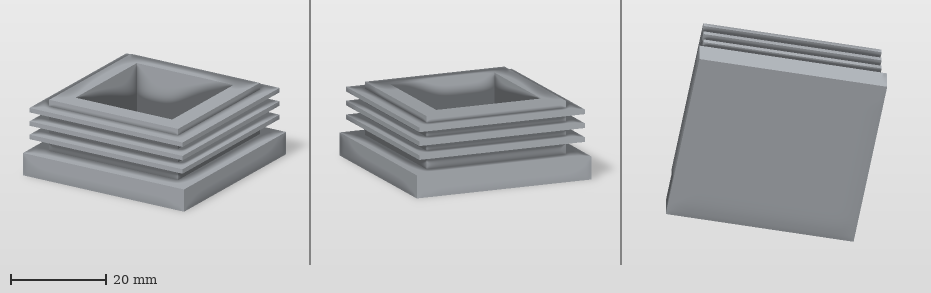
import cadquery as cq

base_side = 40.0
base_height = 5.0

total_height = 16.5
wall = 4.0
pocket_side = 24.0
plug_side = pocket_side + 2 * wall

fin_side = 38.0
fin_thickness = 1.0
fin_count = 3
fin_pitch = 3.0
first_fin_bottom = 8.0


def square_block(side, bottom, height):
    """Square block centred on the Z axis, rising from the given level."""
    return cq.Workplane("XY").workplane(offset=bottom).rect(side, side).extrude(height)


plug_height = total_height - base_height
result = square_block(base_side, 0, base_height)
result = result.union(square_block(plug_side, base_height, plug_height))

for index in range(fin_count):
    fin_bottom = first_fin_bottom + index * fin_pitch
    result = result.union(square_block(fin_side, fin_bottom, fin_thickness))

result = result.cut(square_block(pocket_side, base_height, plug_height))